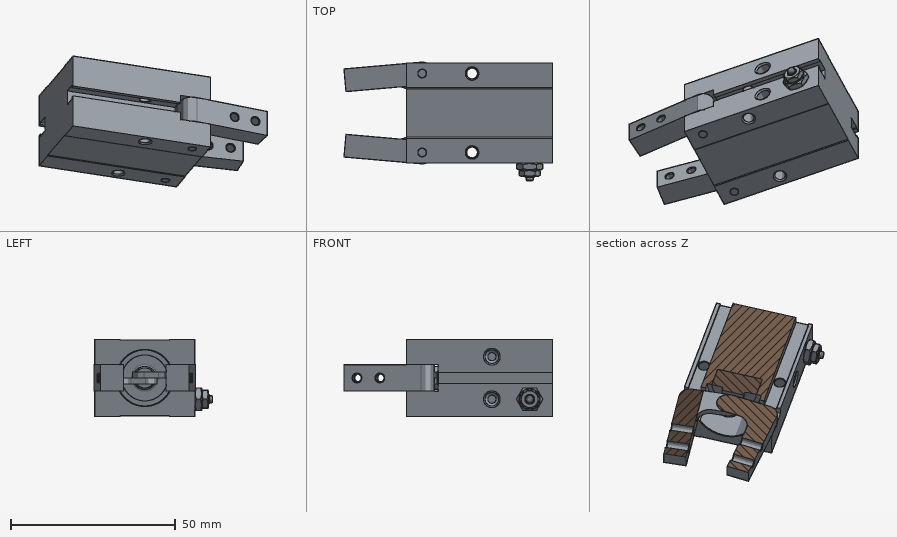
import cadquery as cq
import math


overall_length = 63.5
housing_length = 44.45
housing_width = 30.5
housing_height = 23.5

recess_depth = 0.2
recess_floor_half_width = 7.4
recess_edge_half_width = 7.7

chamber_diameter = 17.0
chamber_depth = 11.45
chamber_chamfer = 0.2
piston_diameter = 14.0
piston_length = 6.35
rod_diameter = 7.0
rod_tip_x = 2.9
rod_chamfer = 0.45
rod_base_fillet = 0.5
rod_slot_end_x = 10.15

finger_angle = 5.0
pivot_x = 4.75
pivot_y = 12.0
finger_half_width = 3.5
finger_height = 8.05
finger_hole_diameter = 2.5
finger_hole_rim_diameter = 3.0
finger_hole_end_distance = 4.0
finger_hole_spacing = 7.0
arm_thickness = 1.85
arm_fillet = 4.0
arm_end_length = 3.8
pin_diameter = 2.65
pin_chamfer = 0.095
finger_window_length = 9.65

slot_depth = 5.2
slot_lip_depth = 1.2
slot_mouth_height = 3.3
slot_inner_height = 4.6

mount_hole_x = 19.95
mount_hole_diameter = 3.25
mount_hole_rim_diameter = 4.1
mount_hole_slot_rim_diameter = 3.6

port_x = 26.0
port_z = 6.5
port_rim_diameter = 5.1
port_diameter = 4.1
port_floor_diameter = 2.5
port_depth = 6.0
port_cone_half_angle = 60.0
valve_x = 37.5
large_hex_width = 7.0
large_hex_height = 2.15
small_hex_width = 5.6
small_hex_height = 1.9
hex_chamfer_angle = 30.0
hex_chamfer_share = 0.92
valve_neck_diameter = 3.0
valve_neck_length = 0.3
valve_neck_chamfer = 0.2
valve_tip_diameter = 2.2
valve_tip_length = 1.0
valve_tip_fillet = 0.45

half_width = housing_width / 2
half_height = housing_height / 2
finger_tip_distance = overall_length - housing_length + pivot_x
finger_tilt = math.radians(finger_angle)
finger_reach = (finger_tip_distance - finger_half_width * math.sin(finger_tilt)) / math.cos(finger_tilt)
rod_slot_height = 2 * arm_thickness


def box(x_range, y_range, z_range):
    """Axis-parallel box between the given limits."""
    size = [high - low for low, high in (x_range, y_range, z_range)]
    corner = (x_range[0], y_range[0], z_range[0])
    return cq.Workplane("XY").box(*size, centered=False).translate(corner)


def turned(profile, origin, direction):
    """Solid of revolution from (radius, distance along the axis) points that start and end on the axis."""
    upright = cq.Workplane("XZ").polyline(profile).close().revolve(360, (0, 0, 0), (0, 1, 0))
    location = cq.Plane(origin=origin, normal=direction).location
    return cq.Workplane(upright.val().moved(location))


def countersunk_hole(diameter, rim_diameter, length, origin, direction):
    """Cutter for a through hole that has a 45 degree chamfer at both ends."""
    radius = diameter / 2
    rim_radius = rim_diameter / 2
    chamfer = rim_radius - radius
    profile = [
        (0, 0),
        (rim_radius, 0),
        (radius, chamfer),
        (radius, length - chamfer),
        (rim_radius, length),
        (0, length),
    ]
    return turned(profile, origin, direction)


def housing_block():
    quarter = [
        (half_width, half_height),
        (recess_edge_half_width, half_height),
        (recess_floor_half_width, half_height - recess_depth),
    ]
    upper = quarter + [(-y, z) for y, z in reversed(quarter)]
    lower = [(-y, -z) for y, z in upper]
    return cq.Workplane("YZ").polyline(upper + lower).close().extrude(housing_length)


def chamber_and_piston_bore():
    radius = chamber_diameter / 2
    mouth_radius = radius + chamber_chamfer
    bore_end = chamber_depth + piston_length
    profile = [
        (0, 0),
        (mouth_radius, 0),
        (radius, chamber_chamfer),
        (radius, chamber_depth),
        (piston_diameter / 2, chamber_depth),
        (piston_diameter / 2, bore_end),
        (0, bore_end),
    ]
    return turned(profile, (0, 0, 0), (1, 0, 0))


def finger_window():
    half = finger_height / 2
    return box((0, finger_window_length), (-half_width, half_width), (-half, half))


def side_slot(side):
    """T-slot from the finger window to the rear face; side is +1 or -1 along Y."""
    mouth = slot_mouth_height / 2
    inner = slot_inner_height / 2
    lip_y = half_width - slot_lip_depth
    floor_y = half_width - slot_depth
    half_outline = [(half_width, mouth), (lip_y, mouth), (lip_y, inner), (floor_y, inner)]
    outline = half_outline + [(y, -z) for y, z in reversed(half_outline)]
    points = [(side * y, z) for y, z in outline]
    start = cq.Workplane("YZ").workplane(offset=finger_window_length)
    return start.polyline(points).close().extrude(housing_length - finger_window_length)


def mount_hole(side):
    """Vertical through hole, chamfered at the outer faces and where it enters the T-slot."""
    bottom = (mount_hole_x, side * pivot_y, -half_height)
    hole = countersunk_hole(mount_hole_diameter, mount_hole_rim_diameter, housing_height, bottom, (0, 0, 1))
    radius = mount_hole_diameter / 2
    slot_rim = mount_hole_slot_rim_diameter / 2
    slot_half = slot_inner_height / 2
    chamfer_end = slot_half + slot_rim - radius
    slot_profile = [
        (0, -chamfer_end),
        (radius, -chamfer_end),
        (slot_rim, -slot_half),
        (slot_rim, slot_half),
        (radius, chamfer_end),
        (0, chamfer_end),
    ]
    return hole.union(turned(slot_profile, (mount_hole_x, side * pivot_y, 0), (0, 0, 1)))


def pin_hole(side):
    start = cq.Workplane("XY").workplane(offset=-half_height)
    return start.center(pivot_x, side * pivot_y).circle(pin_diameter / 2).extrude(housing_height)


def air_port(z):
    """Blind port in the -Y side with a chamfered mouth and a conical bottom."""
    rim = port_rim_diameter / 2
    radius = port_diameter / 2
    floor = port_floor_diameter / 2
    cone_length = (radius - floor) / math.tan(math.radians(port_cone_half_angle))
    profile = [
        (0, 0),
        (rim, 0),
        (radius, rim - radius),
        (radius, port_depth - cone_length),
        (floor, port_depth),
        (0, port_depth),
    ]
    return turned(profile, (port_x, -half_width, z), (0, 1, 0))


def hex_nut(width, height):
    """Hexagon standing on z = 0, corners along X, with its corners chamfered on both ends."""
    corner_radius = width / math.sqrt(3)
    chamfer_width = corner_radius - hex_chamfer_share * width / 2
    chamfer_height = chamfer_width * math.tan(math.radians(hex_chamfer_angle))
    prism = cq.Workplane("XY").polygon(6, 2 * corner_radius).extrude(height)
    blank = cq.Workplane("XY").circle(corner_radius).extrude(height)
    blank = blank.faces("<Z").chamfer(chamfer_height, chamfer_width)
    blank = blank.faces(">Z").chamfer(chamfer_height, chamfer_width)
    return prism.intersect(blank)


def needle_valve():
    """Two stacked hexagons with a stepped round end, pointing away from the -Y side."""
    hex_top = large_hex_height + small_hex_height
    neck_top = hex_top + valve_neck_length
    valve = hex_nut(large_hex_width, large_hex_height)
    valve = valve.union(hex_nut(small_hex_width, small_hex_height).translate((0, 0, large_hex_height)))
    neck = cq.Workplane("XY").workplane(offset=hex_top).circle(valve_neck_diameter / 2)
    neck = neck.extrude(valve_neck_length)
    neck = neck.faces(">Z").chamfer(valve_neck_chamfer)
    tip = cq.Workplane("XY").workplane(offset=neck_top).circle(valve_tip_diameter / 2)
    tip = tip.extrude(valve_tip_length)
    tip = tip.faces(">Z").edges().fillet(valve_tip_fillet)
    valve = valve.union(neck).union(tip)
    return valve.rotate((0, 0, 0), (1, 0, 0), 90).translate((valve_x, -half_width, -port_z))


def make_housing():
    housing = housing_block()
    housing = housing.cut(chamber_and_piston_bore())
    housing = housing.cut(finger_window())
    for side in (1, -1):
        housing = housing.cut(side_slot(side))
        housing = housing.cut(mount_hole(side))
        housing = housing.cut(pin_hole(side))
        housing = housing.cut(air_port(side * port_z))
    return housing.union(needle_valve())


def make_piston():
    """Piston with a slotted front rod that takes both lever arms."""
    radius = rod_diameter / 2
    head_radius = piston_diameter / 2
    tip_radius = radius - rod_chamfer
    head_end = chamber_depth + piston_length
    outline = cq.Workplane("XY").moveTo(rod_tip_x, 0).lineTo(rod_tip_x, tip_radius)
    outline = outline.lineTo(rod_tip_x + rod_chamfer, radius).lineTo(chamber_depth - rod_base_fillet, radius)
    outline = outline.radiusArc((chamber_depth, radius + rod_base_fillet), -rod_base_fillet)
    outline = outline.lineTo(chamber_depth, head_radius).lineTo(head_end, head_radius)
    outline = outline.lineTo(head_end, 0).close()
    piston = outline.revolve(360, (0, 0, 0), (1, 0, 0))
    slot_half = rod_slot_height / 2
    slot = box((rod_tip_x, rod_slot_end_x), (-radius, radius), (-slot_half, slot_half))
    return piston.cut(slot)


def finger_bar():
    """Bar along X with the pivot at the origin; the outer rear corner is rounded about the pivot."""
    w = finger_half_width
    outline = cq.Workplane("XY").workplane(offset=-finger_height / 2)
    outline = outline.moveTo(-finger_reach, -w).lineTo(w, -w).lineTo(w, 0)
    outline = outline.radiusArc((0, w), -w).lineTo(-finger_reach, w).close()
    return outline.extrude(finger_height)


def lever_arm():
    """Flat arm just below z = 0 from the bar to the rod, blended into the bar, with a half-ellipse end."""
    w = finger_half_width
    outline = cq.Workplane("XY").workplane(offset=-arm_thickness)
    outline = outline.moveTo(w, -w).lineTo(-w - arm_fillet, -w)
    outline = outline.radiusArc((-w, -w - arm_fillet), arm_fillet)
    outline = outline.lineTo(-w, -pivot_y).ellipseArc(w, arm_end_length, 180, 360).close()
    return outline.extrude(arm_thickness)


def pivot_pin():
    start = cq.Workplane("XY").workplane(offset=-half_height)
    return start.circle(pin_diameter / 2).extrude(housing_height).faces("<Z or >Z").chamfer(pin_chamfer)


def make_finger():
    """The +Y finger, in its place in the housing."""
    finger = finger_bar().union(lever_arm()).union(pivot_pin())
    for index in range(2):
        hole_x = -finger_reach + finger_hole_end_distance + index * finger_hole_spacing
        hole = countersunk_hole(
            finger_hole_diameter,
            finger_hole_rim_diameter,
            2 * finger_half_width,
            (hole_x, -finger_half_width, 0),
            (0, 1, 0),
        )
        finger = finger.cut(hole)
    return finger.rotate((0, 0, 0), (0, 0, 1), finger_angle).translate((pivot_x, pivot_y, 0))


housing = make_housing()
piston = make_piston()
fingers = [make_finger().rotate((0, 0, 0), (1, 0, 0), turn) for turn in (0, 180)]

result = cq.Compound.makeCompound([housing.val(), piston.val(), *[finger.val() for finger in fingers]])